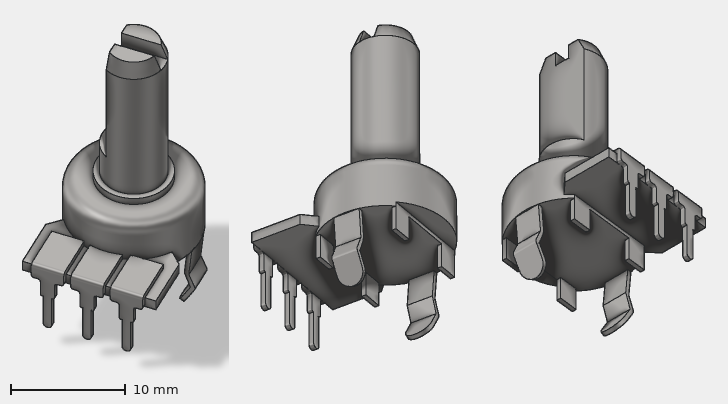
import cadquery as cq
import math


overall_width = 12.78
overall_depth = 16.5
overall_height = 28.54

case_diameter = 12.45
case_radius = case_diameter / 2
case_height = 5.12
case_edge_radius = 1.25
bushing_diameter = 7.11
bushing_top = 5.83

shaft_diameter = 6.0
shaft_radius = shaft_diameter / 2
shaft_top = 21.1
tip_height = 1.5
tip_radius = 2.4
flat_x = -1.5
flat_bottom = 9.17
slot_width = 1.5

board_thickness = 1.05
board_half_width = 6.34
board_corner_y = -4.68

terminal_thickness = 0.5
terminal_front_y = case_radius - overall_depth
terminal_back_y = terminal_front_y + terminal_thickness
terminal_top = board_thickness + terminal_thickness
terminal_pitch = 3.75
pad_width = 3.1
pad_back_y = -5.75
pad_corner_radius = 0.3
bend_radius = 0.42
neck_width = 1.35
neck_bottom = -1.9
neck_top_radius = 0.27
neck_bottom_radius = 0.2
pin_width = 0.82
pin_bottom = -5.48
pin_end_radius = 0.4

plate_thickness = 0.43
plate_half_depth = 4.2
tab_thickness = 0.45
tab_inner_x = 2.55
tab_outer_x = 4.58
tab_bottom = -2.8

leg_width = 2.65
leg_tip_radius = 0.499 * leg_width
leg_thickness = 0.44
leg_foot_x = 6.08
leg_knee_x = 5.81
leg_knee_top = -3.14
leg_knee_bottom = -3.34
leg_elbow_x = overall_width / 2
leg_elbow_z = -4.78
leg_upper_lean = math.radians(23.2)
leg_lower_lean = math.radians(29.5)
leg_tip_z = shaft_top - overall_height


def make_case():
    case = cq.Workplane("XY").workplane(offset=-plate_thickness).circle(case_radius)
    case = case.extrude(plate_thickness + case_height)
    case = case.faces(">Z").edges().fillet(case_edge_radius)
    for side in (-1, 1):
        beside_plate = cq.Workplane("XY").box(case_diameter, case_radius, plate_thickness).translate(
            (0, side * (plate_half_depth + case_radius / 2), -plate_thickness / 2)
        )
        case = case.cut(beside_plate)
    bushing = cq.Workplane("XY").circle(bushing_diameter / 2).extrude(bushing_top)
    return case.union(bushing)


def make_shaft():
    tip_bottom = shaft_top - tip_height
    shaft = (
        cq.Workplane("XZ")
        .polyline([
            (0, 0),
            (shaft_radius, 0),
            (shaft_radius, tip_bottom),
            (tip_radius, shaft_top),
            (0, shaft_top),
        ])
        .close()
        .revolve(360, (0, 0, 0), (0, 1, 0))
    )
    flat_cut = cq.Workplane("XY").box(
        shaft_diameter, 2 * shaft_diameter, shaft_top, centered=(True, True, False)
    ).translate((flat_x - shaft_radius, 0, flat_bottom))
    slot_cut = cq.Workplane("XY").box(
        2 * shaft_diameter, slot_width, shaft_top, centered=(True, True, False)
    ).translate((0, 0, tip_bottom))
    return shaft.cut(flat_cut).cut(slot_cut)


def make_board():
    inner_half_width = board_half_width + board_corner_y
    return (
        cq.Workplane("XY")
        .polyline([
            (-inner_half_width, 0),
            (-board_half_width, board_corner_y),
            (-board_half_width, terminal_back_y),
            (board_half_width, terminal_back_y),
            (board_half_width, board_corner_y),
            (inner_half_width, 0),
        ])
        .close()
        .extrude(board_thickness)
    )


def make_upright_strip(width, bottom, top):
    return cq.Workplane("XY").box(
        width, terminal_thickness, top - bottom, centered=(True, False, False)
    ).translate((0, terminal_front_y, bottom))


def make_terminal():
    head = make_upright_strip(pad_width, 0, terminal_top)
    head = head.faces("<Z").edges("|Y").fillet(pad_corner_radius)
    neck = make_upright_strip(neck_width, neck_bottom, board_thickness)
    neck = neck.faces("<Z").edges("|Y").fillet(neck_bottom_radius)
    pin = make_upright_strip(pin_width, pin_bottom, board_thickness)
    pin = pin.faces("<Z").edges("|Y").fillet(pin_end_radius)
    blade = head.union(neck).union(pin)
    for side in (-1, 1):
        corner = (side * neck_width / 2, terminal_front_y + terminal_thickness / 2, 0)
        blade = blade.edges(cq.selectors.NearestToPointSelector(corner)).fillet(neck_top_radius)

    pad = cq.Workplane("XY").box(
        pad_width, pad_back_y - terminal_front_y, terminal_thickness, centered=(True, False, False)
    ).translate((0, terminal_front_y, board_thickness))
    terminal = blade.union(pad)
    return terminal.faces(">Z").edges("<Y").fillet(bend_radius)


def make_tab(x_side, y_side):
    tab_width = tab_outer_x - tab_inner_x
    return cq.Workplane("XY").box(tab_width, tab_thickness, -tab_bottom).translate((
        x_side * (tab_inner_x + tab_width / 2),
        y_side * (plate_half_depth - tab_thickness / 2),
        tab_bottom / 2,
    ))


def make_leg():
    inner_elbow_x = leg_elbow_x - leg_thickness
    elbow_start = (
        inner_elbow_x + leg_thickness * math.cos(leg_upper_lean),
        leg_elbow_z + leg_thickness * math.sin(leg_upper_lean),
    )
    normal_x = leg_thickness * math.cos(leg_lower_lean)
    normal_z = leg_thickness * math.sin(leg_lower_lean)
    elbow_end = (inner_elbow_x + normal_x, leg_elbow_z - normal_z)
    tip_x = elbow_end[0] - (elbow_end[1] - leg_tip_z) * math.tan(leg_lower_lean)
    leg = (
        cq.Workplane("XZ")
        .moveTo(leg_foot_x, -plate_thickness)
        .lineTo(leg_knee_x, leg_knee_top)
        .lineTo(leg_knee_x, leg_knee_bottom)
        .lineTo(*elbow_start)
        .threePointArc((leg_elbow_x, leg_elbow_z), elbow_end)
        .lineTo(tip_x, leg_tip_z)
        .lineTo(tip_x - normal_x, leg_tip_z + normal_z)
        .lineTo(inner_elbow_x, leg_elbow_z)
        .lineTo(leg_knee_x - leg_thickness, (leg_knee_top + leg_knee_bottom) / 2)
        .lineTo(leg_foot_x - leg_thickness, -plate_thickness)
        .close()
        .extrude(leg_width / 2, both=True)
    )
    return leg.faces("<Z").edges("not |Y").fillet(leg_tip_radius)


result = make_case().union(make_shaft()).union(make_board())

for x_side in (-1, 1):
    for y_side in (-1, 1):
        result = result.union(make_tab(x_side, y_side))

terminal = make_terminal()
for position in (-1, 0, 1):
    result = result.union(terminal.translate((position * terminal_pitch, 0, 0)))

leg = make_leg()
result = result.union(leg).union(leg.mirror("YZ"))